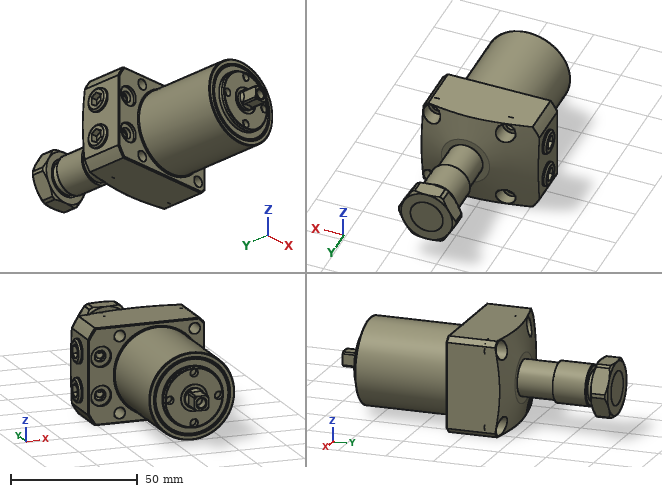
import cadquery as cq
import math


flange_width = 40.0
flange_length = 49.0
flange_half = flange_width / 2
flange_left = flange_length - flange_half
left_corner_radius = 32.9
right_corner_radius = 26.8
flange_height = 25.3
flange_top_radius = 10.3
top_slope = 16.0
flange_edge_chamfer = 0.5
barrel_radius = 18.0
barrel_length = 39.2
barrel_edge_chamfer = 0.3
barrel_root_flare = 0.5

mount_hole_offset = 15.8
mount_hole_radius = 2.3
mount_seat_radius = 3.9
mount_seat_height = 16.0

port_z_offset = 8.0
gasket_port_x = -23.6
gasket_recess_radius = 4.2
gasket_recess_depth = 1.1
port_hole_radius = 2.3
port_hole_depth = 2.9
drill_tip_angle = 59.0
passage_radius = 1.5
passage_length = 8.0
passage_shift = 0.3
passage_tilt = 20.0
plug_y = 11.1
plug_head_radius = 5.0
plug_head_height = 1.5
plug_chamfer = 0.8
plug_stem_radius = 3.4
plug_stem_length = 3.0
plug_socket_width = 5.0
plug_socket_depth = 2.9

cap_radius = 15.7
cap_thickness = 5.7
cap_groove_chamfer = 0.5
cap_boss_radius = 12.6
cap_boss_height = 2.5
cap_boss_chamfer = 0.6
cap_lip_height = 0.5
spanner_hole_count = 4
spanner_hole_circle = 10.3
spanner_hole_radius = 1.6
spanner_hole_depth = 2.3
seal_radius = 5.5
seal_recess = 0.3
seal_thickness = 1.7

rod_diameter = 15.0
rod_radius = rod_diameter / 2
tail_radius = 4.1
tail_round_end = 42.5
tail_end = 49.9
tail_square = 6.0
tail_corner_radius = 3.8
tail_tip_chamfer = 0.3
tail_bore_radius = 2.0
tail_bore_chamfer = 0.3
tail_bore_depth = 4.6
neck_radius = 6.3
thread_radius = 7.0
neck_end = 55.6
thread_start = 57.7

sleeve_radius = 8.5
sleeve_bottom = 40.5
sleeve_top = 54.5
sleeve_chamfer = 0.3
nut_bottom = 57.5
nut_top = 64.6
nut_width = 22.0
nut_corner_radius = 12.3
nut_mouth_radius = 8.0
nut_end_radius = 11.0
nut_chamfer_angle = 30.0


def turned(points):
    """Revolve an outline of (radius, Y) points around the Y axis."""
    outline = cq.Workplane("XY").polyline(points).close()
    return outline.revolve(360, (0, 0, 0), (0, 1, 0))


def rod_cylinder(radius, start, end, x=0.0, z=0.0):
    """Cylinder parallel to the Y axis, from Y = start to Y = end."""
    base = cq.Vector(x, start, z)
    return cq.Workplane(cq.Solid.makeCylinder(radius, end - start, base, cq.Vector(0, 1, 0)))


def hexagon_corner_diameter(width):
    """Diameter across the corners of a hexagon with this width across its flats."""
    return width / math.cos(math.radians(30))


def rod_hexagon(width, start, end):
    """Hexagonal prism along the Y axis, with two corners on the X axis."""
    plane = cq.Workplane("XZ", origin=(0, start, 0))
    return plane.polygon(6, hexagon_corner_diameter(width)).extrude(start - end)


def hole_points(radius, count):
    """(x, z) points evenly spaced on a circle around the axis."""
    angles = [2 * math.pi * i / count for i in range(count)]
    return [(radius * math.cos(angle), radius * math.sin(angle)) for angle in angles]


def flange_block():
    left_z = math.sqrt(left_corner_radius**2 - flange_left**2)
    left_x = math.sqrt(left_corner_radius**2 - flange_half**2)
    right_xz = math.sqrt(right_corner_radius**2 - flange_half**2)
    left_corner_angle = (math.atan2(flange_half, left_x) + math.atan2(left_z, flange_left)) / 2
    left_mid_x = left_corner_radius * math.cos(left_corner_angle)
    left_mid_z = left_corner_radius * math.sin(left_corner_angle)
    right_mid = right_corner_radius * math.sqrt(0.5)
    block = (
        cq.Workplane("XZ")
        .moveTo(-left_x, flange_half)
        .lineTo(right_xz, flange_half)
        .threePointArc((right_mid, right_mid), (flange_half, right_xz))
        .lineTo(flange_half, -right_xz)
        .threePointArc((right_mid, -right_mid), (right_xz, -flange_half))
        .lineTo(-left_x, -flange_half)
        .threePointArc((-left_mid_x, -left_mid_z), (-flange_left, -left_z))
        .lineTo(-flange_left, left_z)
        .threePointArc((-left_mid_x, left_mid_z), (-left_x, flange_half))
        .close()
        .extrude(-flange_height)
        .faces("<Y")
        .edges()
        .chamfer(flange_edge_chamfer)
    )
    blank_radius = math.hypot(flange_left, flange_half)
    slope_drop = (blank_radius - flange_top_radius) * math.tan(math.radians(top_slope))
    sloped_blank = turned([
        (0, 0),
        (blank_radius, 0),
        (blank_radius, flange_height - slope_drop),
        (flange_top_radius, flange_height),
        (0, flange_height),
    ])
    return block.intersect(sloped_blank)


def mounting_holes():
    holes = cq.Workplane()
    for x in (-mount_hole_offset, mount_hole_offset):
        for z in (-mount_hole_offset, mount_hole_offset):
            holes = holes.add(rod_cylinder(mount_hole_radius, 0, flange_height, x, z))
            holes = holes.add(rod_cylinder(mount_seat_radius, mount_seat_height, flange_height, x, z))
    return holes.combine()


def gasket_port(z):
    """Shallow gasket recess with a drilled hole, and a slanted passage from its bottom."""
    tip_height = port_hole_radius / math.tan(math.radians(drill_tip_angle))
    drill = turned([
        (0, 0),
        (gasket_recess_radius, 0),
        (gasket_recess_radius, gasket_recess_depth),
        (port_hole_radius, gasket_recess_depth),
        (port_hole_radius, port_hole_depth),
        (0, port_hole_depth + tip_height),
    ]).translate((gasket_port_x, 0, z))
    tilt = math.radians(passage_tilt)
    passage = cq.Solid.makeCylinder(
        passage_radius,
        passage_length,
        cq.Vector(gasket_port_x + passage_shift, port_hole_depth, z),
        cq.Vector(math.sin(tilt), math.cos(tilt), 0),
    )
    return drill.union(cq.Workplane(passage))


def plug_hole(z):
    origin = cq.Vector(-flange_left, plug_y, z)
    into_flange = cq.Vector(1, 0, 0)
    return cq.Workplane(cq.Solid.makeCylinder(plug_stem_radius, plug_stem_length, origin, into_flange))


def make_housing():
    barrel = turned([
        (0, -barrel_length),
        (barrel_radius - barrel_edge_chamfer, -barrel_length),
        (barrel_radius, barrel_edge_chamfer - barrel_length),
        (barrel_radius, -barrel_root_flare),
        (barrel_radius + barrel_root_flare, 0),
        (0, 0),
    ])
    housing = flange_block().union(barrel)
    cap_bore = rod_cylinder(cap_radius, -barrel_length, cap_thickness - barrel_length)
    bore_chamfer = turned([
        (0, -barrel_length),
        (cap_radius + cap_groove_chamfer, -barrel_length),
        (cap_radius, cap_groove_chamfer - barrel_length),
        (0, cap_groove_chamfer - barrel_length),
    ])
    rod_bore = rod_cylinder(rod_radius, -barrel_length, flange_height)
    housing = housing.cut(cap_bore).cut(bore_chamfer).cut(rod_bore).cut(mounting_holes())
    for z in (-port_z_offset, port_z_offset):
        housing = housing.cut(gasket_port(z)).cut(plug_hole(z))
    return housing


cap_inner = cap_thickness - barrel_length
cap_face = -barrel_length - cap_boss_height
seal_face = cap_face + seal_recess
seal_top = seal_face + seal_thickness


def make_end_cap():
    cap = turned([
        (tail_radius, cap_inner),
        (cap_radius, cap_inner),
        (cap_radius, cap_groove_chamfer - barrel_length),
        (cap_radius - cap_groove_chamfer, -barrel_length),
        (cap_boss_radius, -barrel_length),
        (cap_boss_radius, cap_face + cap_lip_height + cap_boss_chamfer),
        (cap_boss_radius - cap_boss_chamfer, cap_face + cap_lip_height),
        (cap_boss_radius - cap_boss_chamfer, cap_face),
        (seal_radius, cap_face),
        (seal_radius, seal_top),
        (tail_radius, seal_top),
    ])
    for x, z in hole_points(spanner_hole_circle, spanner_hole_count):
        cap = cap.cut(rod_cylinder(spanner_hole_radius, cap_face, cap_face + spanner_hole_depth, x, z))
    return cap


def make_wiper_seal():
    ring = rod_cylinder(seal_radius, seal_face, seal_top)
    return ring.cut(rod_cylinder(tail_radius, seal_face, seal_top))


def square_tail():
    """Square with turned corners and a chamfered tip, reaching up into the round of the tail."""
    turned_corners = turned([
        (0, -tail_end),
        (tail_corner_radius - tail_tip_chamfer, -tail_end),
        (tail_corner_radius, tail_tip_chamfer - tail_end),
        (tail_corner_radius, -tail_round_end),
        (0, -tail_round_end),
    ])
    plane = cq.Workplane("XZ", origin=(0, -tail_round_end, 0))
    square = plane.rect(tail_square, tail_square).extrude(tail_end - tail_round_end)
    return turned_corners.intersect(square)


def make_rod():
    cone_end_radius = tail_square / 2
    cone_end = tail_round_end + tail_radius - cone_end_radius
    shank = turned([
        (0, -cone_end),
        (cone_end_radius, -cone_end),
        (tail_radius, -tail_round_end),
        (tail_radius, cap_inner),
        (rod_radius, cap_inner),
        (rod_radius, sleeve_bottom),
        (neck_radius, sleeve_top),
        (neck_radius, neck_end),
        (thread_radius, thread_start),
        (thread_radius, nut_top),
        (0, nut_top),
    ])
    tail_bore = turned([
        (0, -tail_end),
        (tail_bore_radius + tail_bore_chamfer, -tail_end),
        (tail_bore_radius, tail_bore_chamfer - tail_end),
        (tail_bore_radius, tail_bore_depth - tail_end),
        (0, tail_bore_depth - tail_end),
    ])
    return shank.union(square_tail()).cut(tail_bore)


def make_sleeve():
    return turned([
        (rod_radius, sleeve_bottom),
        (sleeve_radius, sleeve_bottom),
        (sleeve_radius, sleeve_top - sleeve_chamfer),
        (sleeve_radius - sleeve_chamfer, sleeve_top),
        (neck_radius, sleeve_top),
    ])


def make_nut():
    chamfer_height = (nut_corner_radius - nut_end_radius) * math.tan(math.radians(nut_chamfer_angle))
    blank = turned([
        (thread_radius, nut_bottom + nut_mouth_radius - thread_radius),
        (nut_mouth_radius, nut_bottom),
        (nut_end_radius, nut_bottom),
        (nut_corner_radius, nut_bottom + chamfer_height),
        (nut_corner_radius, nut_top - chamfer_height),
        (nut_end_radius, nut_top),
        (thread_radius, nut_top),
    ])
    return blank.intersect(rod_hexagon(nut_width, nut_bottom, nut_top))


def make_plug(z):
    side = cq.Workplane("YZ", origin=(-flange_left, plug_y, z))
    head = side.circle(plug_head_radius).extrude(-plug_head_height)
    head = head.faces("<X").edges().chamfer(plug_chamfer)
    stem = side.circle(plug_stem_radius).extrude(plug_stem_length)
    socket = (
        side.workplane(offset=-plug_head_height)
        .transformed(rotate=(0, 0, 90))
        .polygon(6, hexagon_corner_diameter(plug_socket_width))
        .extrude(plug_socket_depth)
    )
    return head.union(stem).cut(socket)


housing = make_housing()
end_cap = make_end_cap()
wiper_seal = make_wiper_seal()
rod = make_rod()
sleeve = make_sleeve()
nut = make_nut()
plugs = [make_plug(z) for z in (-port_z_offset, port_z_offset)]

result = cq.Compound.makeCompound([
    housing.val(),
    end_cap.val(),
    wiper_seal.val(),
    rod.val(),
    sleeve.val(),
    nut.val(),
    *[plug.val() for plug in plugs],
])